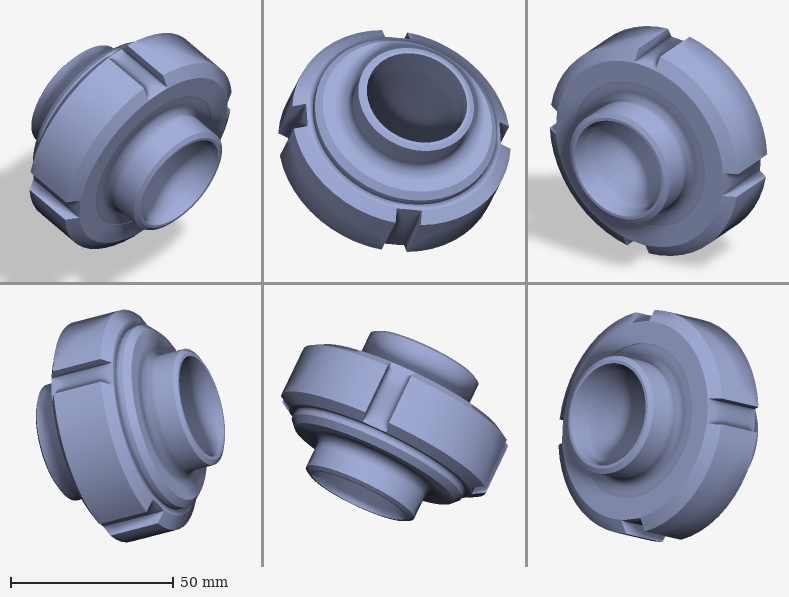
import cadquery as cq
import math

total_length = 48.5
flange_left = 11.05
nut_left = 15.5
nut_right = 36.5
recess_depth = 0.3

slot_count = 4
slot_width = 8.05
slot_floor = 31.0
slot_tilt = -3.5

outer_size = 69.9
tilt = math.radians(abs(slot_tilt))
rim_height = (outer_size / 2 - slot_width / 2 * math.sin(tilt)) / math.cos(tilt)
nut_radius = math.hypot(rim_height, slot_width / 2)

bore_radius = 32.0 / 2
pipe_radius = 37.0 / 2
flange_radius = 58.0 / 2
nut_face_radius = 31.05
recess_radius = 48.5 / 2

left_fillet = 2.5
right_fillet = 1.95
pipe_chamfer_length = 0.9
pipe_chamfer_depth = 1.55
flange_chamfer_length = 2.1
flange_chamfer_depth = 1.95
nut_chamfer_angle = 31
nut_chamfer_length = (nut_radius - nut_face_radius) * math.tan(math.radians(nut_chamfer_angle))


def fillet_midpoint(center_x, radius, direction):
    """Middle of a quarter arc running from the pipe wall to a flat face."""
    offset = radius * math.sqrt(0.5)
    return (center_x + direction * offset, pipe_radius + radius - offset)


def revolved_body():
    """Pipe stubs, flange and nut revolved about the X axis."""
    chamfered_pipe_radius = pipe_radius - pipe_chamfer_depth
    left_arc_x = flange_left - left_fillet
    recess_face = nut_right - recess_depth
    right_arc_x = recess_face + right_fillet
    profile = (
        cq.Workplane("XY")
        .moveTo(0, bore_radius)
        .lineTo(0, chamfered_pipe_radius)
        .lineTo(pipe_chamfer_length, pipe_radius)
        .lineTo(left_arc_x, pipe_radius)
        .threePointArc(
            fillet_midpoint(left_arc_x, left_fillet, 1),
            (flange_left, pipe_radius + left_fillet),
        )
        .lineTo(flange_left, flange_radius - flange_chamfer_depth)
        .lineTo(flange_left + flange_chamfer_length, flange_radius)
        .lineTo(nut_left, flange_radius)
        .lineTo(nut_left, nut_face_radius)
        .lineTo(nut_left + nut_chamfer_length, nut_radius)
        .lineTo(nut_right - nut_chamfer_length, nut_radius)
        .lineTo(nut_right, nut_face_radius)
        .lineTo(nut_right, recess_radius)
        .lineTo(recess_face, recess_radius)
        .lineTo(recess_face, pipe_radius + right_fillet)
        .threePointArc(
            fillet_midpoint(right_arc_x, right_fillet, -1),
            (right_arc_x, pipe_radius),
        )
        .lineTo(total_length - pipe_chamfer_length, pipe_radius)
        .lineTo(total_length, chamfered_pipe_radius)
        .lineTo(total_length, bore_radius)
        .close()
    )
    return profile.revolve(360, (0, 0, 0), (1, 0, 0))


def spanner_slot(angle):
    """Cutter for one flat-floored slot across the nut, turned about the X axis."""
    cutter = cq.Workplane("XY").box(
        nut_right - nut_left, slot_width, nut_radius, centered=(False, True, False)
    )
    cutter = cutter.translate((nut_left, 0, slot_floor))
    return cutter.rotate((0, 0, 0), (1, 0, 0), angle)


result = revolved_body()
for index in range(slot_count):
    result = result.cut(spanner_slot(slot_tilt + index * 360 / slot_count))